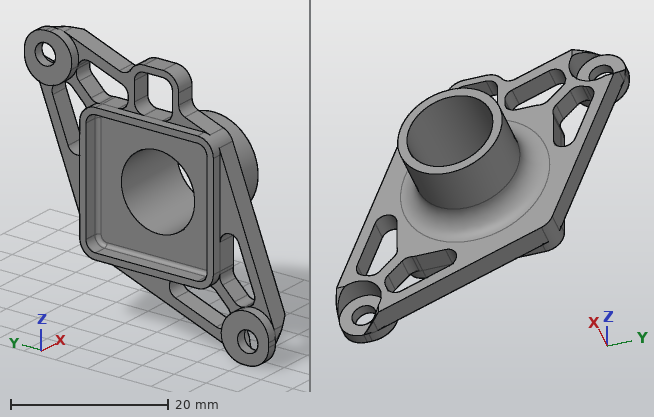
import cadquery as cq
import math


pad_height = 1.5
plate_back = 4.4
tube_end = 14.5
plate_thickness = plate_back - pad_height

body_side = 21.0
body_corner_radius = 2.5
body_half = body_side / 2
corner_centre = body_half - body_corner_radius
rim_width = 1.0
pocket_side = body_side - 2 * rim_width
pocket_corner_radius = body_corner_radius - rim_width
pocket_depth = 2.5
pocket_floor_fillet = 0.58

tube_diameter = 14.0
bore_diameter = 11.5
neck_radius = 3.0

flange_half = 19.2
ear_radius = 3.3
ear_centre = flange_half - ear_radius
pad_radius = 4.2
shoulder_radius = 3.5
screw_hole_diameter = 3.2

inner_radius = 1.5
edge_width = 1.5
strut_width = 1.5

loop_width = 7.95
loop_half_width = loop_width / 2
loop_top = 17.43
loop_corner_radius = 2.5
loop_wall = 1.0

edge_tolerance = 0.05
foot_margin = 0.4


def half_turn(shape):
    """Turn a shape about the X axis onto the opposite ear."""
    return shape.rotate((0, 0, 0), (1, 0, 0), 180)


def swap_axes(shape):
    """Mirror a shape about the X-parallel plane through both ears."""
    return shape.mirror("XY").rotate((0, 0, 0), (1, 0, 0), 90)


def prism(points, start, length):
    """Extrude a (y, z) polygon along X."""
    return cq.Workplane("YZ", origin=(start, 0, 0)).polyline(points).close().extrude(length)


def cylinder(centre, radius, start, end):
    """Cylinder along X centred on a (y, z) point."""
    return cq.Workplane("YZ", origin=(start, 0, 0)).center(*centre).circle(radius).extrude(end - start)


def rounded_square(side, radius, start, length):
    square = cq.Workplane("YZ", origin=(start, 0, 0)).rect(side, side).extrude(length)
    return square.edges("|X").fillet(radius)


def pad_disc(start, end):
    """Full disc of the pad circle around the +Y, +Z ear centre."""
    return cylinder((ear_centre, ear_centre), pad_radius, start, end)


def tangent_angle(first, second):
    """Angle of the outward normal of the line touching two circles (y, z, radius)."""
    dy = second[0] - first[0]
    dz = second[1] - first[1]
    return math.atan2(dz, dy) - math.acos((first[2] - second[2]) / math.hypot(dy, dz))


def point_on(circle, angle):
    y, z, radius = circle
    return (y + radius * math.cos(angle), z + radius * math.sin(angle))


shoulder_side = flange_half - shoulder_radius
shoulder_along = ear_centre - math.sqrt(
    (pad_radius - shoulder_radius) ** 2 - (ear_centre - shoulder_side) ** 2
)

half_outline = [
    (corner_centre, -corner_centre, body_corner_radius),
    (shoulder_side, shoulder_along, shoulder_radius),
    (ear_centre, ear_centre, ear_radius),
    (shoulder_along, shoulder_side, shoulder_radius),
]
outline_circles = half_outline + [(-y, -z, radius) for y, z, radius in half_outline]


def flange_blank():
    """Plate wrapped around the outline circles by arcs and tangent lines."""
    count = len(outline_circles)
    sketch = cq.Workplane("YZ", origin=(pad_height, 0, 0))
    for i, circle in enumerate(outline_circles):
        arrival = tangent_angle(outline_circles[i - 1], circle)
        departure = tangent_angle(circle, outline_circles[(i + 1) % count])
        sweep = (departure - arrival) % (2 * math.pi)
        start = point_on(circle, arrival)
        sketch = sketch.moveTo(*start) if i == 0 else sketch.lineTo(*start)
        middle = point_on(circle, arrival + sweep / 2)
        sketch = sketch.threePointArc(middle, point_on(circle, departure))
    return sketch.close().extrude(plate_thickness)


upper_ear = half_outline[-1]
upper_corner = outline_circles[len(half_outline)]
side_angle = tangent_angle(upper_ear, upper_corner)
side_distance = (
    upper_ear[0] * math.cos(side_angle) + upper_ear[1] * math.sin(side_angle) + shoulder_radius
)


def side_z(y, inset=0):
    """Height of the long +Z side at a given y, moved inward by an inset."""
    return (side_distance - inset - y * math.cos(side_angle)) / math.sin(side_angle)


def add_loop(flange):
    """Add the outside of the strap loop and round its two feet."""
    loop = cq.Workplane("XY", origin=(pad_height, 0, 0)).box(
        plate_thickness, loop_width, loop_top, centered=(False, True, False)
    )
    loop = loop.edges("|X and >Z").fillet(loop_corner_radius)
    lowest_foot = side_z(-loop_half_width) - foot_margin
    highest_foot = side_z(loop_half_width) + foot_margin
    foot_zone = cq.selectors.BoxSelector(
        (0, -loop_half_width - foot_margin, lowest_foot),
        (tube_end, loop_half_width + foot_margin, highest_foot),
    )
    return flange.union(loop).edges("|X").edges(foot_zone).fillet(inner_radius)


def loop_hole():
    """Opening of the strap loop, down to the body."""
    half_width = loop_half_width - loop_wall
    top = loop_top - loop_wall
    points = [
        (-half_width, body_half),
        (half_width, body_half),
        (half_width, top),
        (-half_width, top),
    ]
    return prism(points, pad_height, plate_thickness).edges("|X").fillet(inner_radius)


def window(square_end=None):
    """Window between the +Z side, the strut, the pad and the body.

    It narrows to a rounded tip, or stops at a wall at y = square_end.
    """
    strut_offset = strut_width / math.sqrt(2)
    points = [
        (corner_centre, corner_centre + strut_offset),
        (ear_centre, ear_centre + strut_offset),
        (ear_centre, side_z(ear_centre, edge_width)),
    ]
    if square_end is None:
        tip_y = (side_distance - edge_width - body_half * math.sin(side_angle)) / math.cos(side_angle)
        points.append((tip_y, body_half))
    else:
        points.append((square_end, side_z(square_end, edge_width)))
        points.append((square_end, body_half))
    points.append((corner_centre, body_half))
    opening = prism(points, pad_height, plate_thickness)
    opening = opening.cut(body).cut(pad_disc(pad_height, plate_back))

    tangent_edge = cq.selectors.BoxSelector(
        (0, corner_centre - edge_tolerance, body_half - edge_tolerance),
        (tube_end, corner_centre + edge_tolerance, body_half + edge_tolerance),
    )
    corners = cq.StringSyntaxSelector("|X") - tangent_edge
    return opening.edges(corners).fillet(inner_radius)


def window_openings():
    """Four lightening windows, one shortened by the strap loop, and the loop opening."""
    pointed = window()
    across_diagonal = swap_axes(pointed)
    return [
        window(loop_half_width),
        across_diagonal,
        half_turn(pointed),
        half_turn(across_diagonal),
        loop_hole(),
    ]


def ear_relief():
    """Screw head recess behind the +Y, +Z ear, with its open sides bevelled at 45 degrees."""
    recess = cylinder((ear_centre, ear_centre), ear_radius, pad_height, plate_back)
    bevel_end = ear_centre - plate_thickness
    bevel_profile = [
        (pad_height, ear_centre),
        (plate_back, ear_centre),
        (plate_back, bevel_end),
    ]
    plane = cq.Workplane("XY", origin=(0, 0, ear_centre))
    bevel = plane.polyline(bevel_profile).close().extrude(ear_radius)
    return recess.union(bevel).union(swap_axes(bevel))


def ear_pad():
    """Pad under the +Y, +Z ear: the ear outline closed by the pad circle."""
    corner = (ear_centre, ear_centre, ear_radius)
    disc = (ear_centre, ear_centre, pad_radius)
    shoulder = (shoulder_side, shoulder_along, shoulder_radius)
    join_angle = math.atan2(shoulder_along - ear_centre, shoulder_side - ear_centre)
    diagonal = math.pi / 4

    outer = [point_on(corner, angle) for angle in (math.pi / 2, diagonal, 0)]
    lower = [point_on(shoulder, angle) for angle in (0, join_angle / 2, join_angle)]
    upper = [(z, y) for y, z in reversed(lower)]
    sketch = (
        cq.Workplane("YZ")
        .moveTo(*outer[0])
        .threePointArc(outer[1], outer[2])
        .lineTo(*lower[0])
        .threePointArc(lower[1], lower[2])
        .threePointArc(point_on(disc, diagonal + math.pi), upper[0])
        .threePointArc(upper[1], upper[2])
    )
    return sketch.close().extrude(pad_height)


def tube():
    """Tube with a flared neck that runs tangent into the back of the plate."""
    radius = tube_diameter / 2
    flare = neck_radius * (1 - math.sqrt(0.5))
    profile = (
        cq.Workplane("XY")
        .moveTo(plate_back, 0)
        .lineTo(plate_back, radius + neck_radius)
        .threePointArc((plate_back + flare, radius + flare), (plate_back + neck_radius, radius))
        .lineTo(tube_end, radius)
        .lineTo(tube_end, 0)
        .close()
    )
    return profile.revolve(360, (0, 0, 0), (1, 0, 0))


body = rounded_square(body_side, body_corner_radius, 0, plate_back)
relief = ear_relief()
pad = ear_pad()
screw_hole = cylinder((ear_centre, ear_centre), screw_hole_diameter / 2, 0, plate_back)
pocket = rounded_square(pocket_side, pocket_corner_radius, 0, pocket_depth)
pocket = pocket.faces(">X").edges().fillet(pocket_floor_fillet)
bore = cylinder((0, 0), bore_diameter / 2, 0, tube_end)

plate = add_loop(flange_blank()).cut(relief).cut(half_turn(relief))
result = plate.union(body).union(tube()).cut(pocket).cut(bore)

for ear_part in (pad, half_turn(pad)):
    result = result.union(ear_part, clean=False)
for opening in window_openings() + [screw_hole, half_turn(screw_hole)]:
    result = result.cut(opening, clean=False)